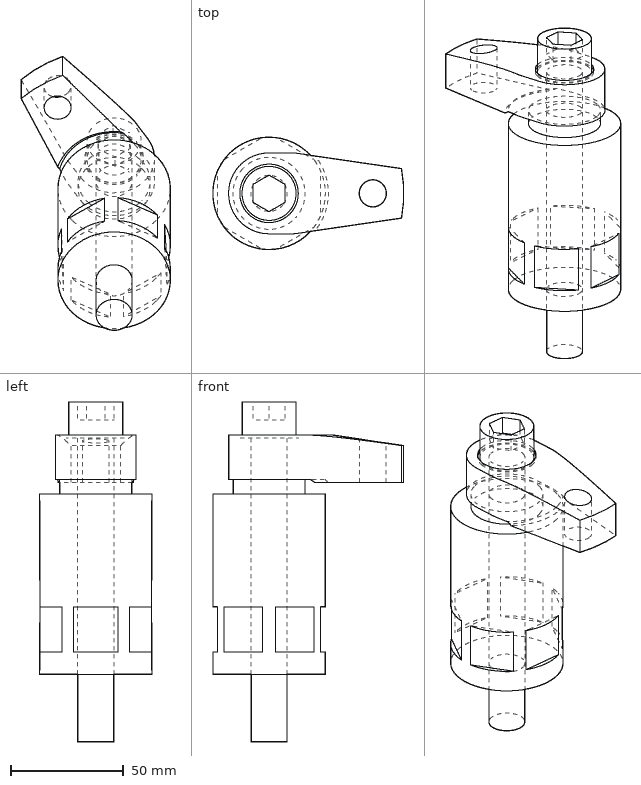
import cadquery as cq
import math

total_height = 151.0
total_length = 84.9

housing_radius = 50.0 / 2
housing_height = 80.0
neck_diameter = 32.0
neck_height = 6.3
flat_count = 6
flat_distance = 23.0
flat_height = 20.0
flat_base_offset = 10.0

shank_diameter = 16.0
shank_protrusion = 30.0
head_diameter = 24.0
head_height = 16.0
hex_across_flats = 14.0
hex_depth = 8.0

hub_radius = 18.0
hub_height = 20.0
hub_end_x = 10.0
flank_angle = 8.3
top_slope_angle = 8.5
tip_radius = total_length - housing_radius
arm_drop = 1.4
arm_relief_radius = housing_radius
tip_hole_x = 46.0
tip_hole_diameter = 12.0
counterbore_diameter = 26.0

housing_bottom = shank_protrusion
housing_top = housing_bottom + housing_height
hub_bottom = housing_top + neck_height
hub_top = hub_bottom + hub_height
arm_bottom = hub_bottom - arm_drop
head_bottom = total_height - head_height


def cylinder(diameter, bottom, top):
    """Solid cylinder on the Z axis between two levels."""
    return cq.Workplane("XY").workplane(offset=bottom).circle(diameter / 2).extrude(top - bottom)


def make_housing():
    """Bored cylinder with a neck on top and a ring of wrench flats."""
    body = cylinder(2 * housing_radius, housing_bottom, housing_top)
    body = body.union(cylinder(neck_diameter, housing_top, hub_bottom))
    flat_middle = housing_bottom + flat_base_offset + flat_height / 2
    cutter = cq.Workplane("XY").box(
        housing_radius, 2 * housing_radius, flat_height
    ).translate((flat_distance + housing_radius / 2, 0, flat_middle))
    for i in range(flat_count):
        body = body.cut(cutter.rotate((0, 0, 0), (0, 0, 1), i * 360 / flat_count))
    return body.cut(cylinder(shank_diameter, housing_bottom, hub_bottom))


def lever_blank():
    """Full-height lever: round hub, straight sides, tapering flanks and an arc tip."""
    angle = math.radians(flank_angle)
    tangent_x = hub_end_x + hub_radius * math.sin(angle)
    tangent_y = hub_radius * math.cos(angle)
    mid_x = hub_end_x + hub_radius * math.sin(angle / 2)
    mid_y = hub_radius * math.cos(angle / 2)

    along = tangent_x * math.cos(angle) - tangent_y * math.sin(angle)
    start_squared = tangent_x**2 + tangent_y**2
    flank_length = -along + math.sqrt(along**2 - start_squared + tip_radius**2)
    tip_x = tangent_x + flank_length * math.cos(angle)
    tip_y = tangent_y - flank_length * math.sin(angle)

    return (
        cq.Workplane("XY").workplane(offset=arm_bottom)
        .moveTo(0, hub_radius)
        .lineTo(hub_end_x, hub_radius)
        .threePointArc((mid_x, mid_y), (tangent_x, tangent_y))
        .lineTo(tip_x, tip_y)
        .threePointArc((tip_radius, 0), (tip_x, -tip_y))
        .lineTo(tangent_x, -tangent_y)
        .threePointArc((mid_x, -mid_y), (hub_end_x, -hub_radius))
        .lineTo(0, -hub_radius)
        .threePointArc((-hub_radius, 0), (0, hub_radius))
        .close()
        .extrude(hub_top - arm_bottom)
    )


def top_slope_cutter():
    """Ring above the cone that falls away from the hub's rounded end."""
    outer_radius = total_length
    drop = (outer_radius - hub_radius) * math.tan(math.radians(top_slope_angle))
    return (
        cq.Workplane("XZ")
        .polyline([(hub_radius, hub_top), (outer_radius, hub_top), (outer_radius, hub_top - drop)])
        .close()
        .revolve(360, (0, 0, 0), (0, 1, 0))
        .translate((hub_end_x, 0, 0))
    )


def hub_end_keeper():
    """Straight hub block left of the rounded end, which stays flat on top."""
    return (
        cq.Workplane("XY").workplane(offset=arm_bottom)
        .center(hub_end_x - total_length / 2, 0)
        .rect(total_length, 2 * total_length)
        .extrude(hub_top - arm_bottom)
    )


def underside_relief():
    """45 degree cone under the hub that clears the housing."""
    return (
        cq.Workplane("XZ")
        .polyline([
            (0, arm_bottom),
            (arm_relief_radius + arm_drop, arm_bottom),
            (arm_relief_radius, hub_bottom),
            (0, hub_bottom),
        ])
        .close()
        .revolve(360, (0, 0, 0), (0, 1, 0))
    )


def make_lever():
    """Lever with sloped arm, tip hole, screw bore and counterbore."""
    lever = lever_blank()
    lever = lever.cut(top_slope_cutter().cut(hub_end_keeper()))
    lever = lever.cut(underside_relief())
    tip_hole = cylinder(tip_hole_diameter, arm_bottom, hub_top).translate((tip_hole_x, 0, 0))
    lever = lever.cut(tip_hole)
    lever = lever.cut(cylinder(shank_diameter, hub_bottom, hub_top))
    return lever.cut(cylinder(counterbore_diameter, head_bottom, hub_top))


def make_screw():
    """Cap screw through the lever and housing, with a hexagon socket."""
    screw = cylinder(shank_diameter, 0, head_bottom)
    screw = screw.union(cylinder(head_diameter, head_bottom, total_height))
    hex_across_corners = hex_across_flats / math.cos(math.pi / 6)
    socket = (
        cq.Workplane("XY").workplane(offset=total_height - hex_depth)
        .polygon(6, hex_across_corners)
        .extrude(hex_depth)
        .rotate((0, 0, 0), (0, 0, 1), 30)
    )
    return screw.cut(socket)


housing = make_housing()
lever = make_lever()
screw = make_screw()

result = cq.Compound.makeCompound([housing.val(), lever.val(), screw.val()])